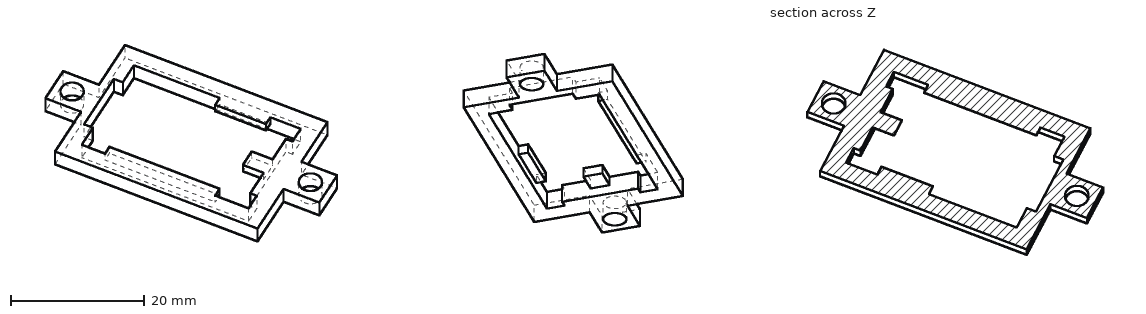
import cadquery as cq

thickness = 3.0
frame_length = 34.0
frame_width = 23.5
wall = 3.0
window_length = frame_length - 2 * wall
window_width = frame_width - 2 * wall

overall_length = 46.0
ear_width = 6.0
hole_diameter = 3.5
hole_spacing = 40.0

relief_depth = 1.5
relief_width = 10.0

land_depth = 1.1
land_width = 12.0

clip_thickness = 1.5
clip_depth = 1.5
back_clip_start = 0.4
back_clip_length = 8.5
front_clip_start = -10.1
front_clip_length = 18.5
tongue_length = 3.5
tongue_width = 3.0


def block(x_min, x_max, y_min, y_max, z_min=0.0):
    """Box between the given limits, reaching up to the top face."""
    size = (x_max - x_min, y_max - y_min, thickness - z_min)
    return cq.Workplane("XY").box(*size, centered=False).translate((x_min, y_min, z_min))


def centered_block(x_min, x_max, width, z_min=0.0):
    """Block that is symmetric about the X axis."""
    return block(x_min, x_max, -width / 2, width / 2, z_min)


def make_frame():
    """Rectangular frame with drilled ears and the relief in the -X wall."""
    plate = centered_block(-frame_length / 2, frame_length / 2, frame_width)
    ears = centered_block(-overall_length / 2, overall_length / 2, ear_width)
    window = centered_block(-window_length / 2, window_length / 2, window_width)
    relief = centered_block(-window_length / 2 - relief_depth, 0, relief_width)
    holes = (
        cq.Workplane("XY")
        .pushPoints([(-hole_spacing / 2, 0), (hole_spacing / 2, 0)])
        .circle(hole_diameter / 2)
        .extrude(thickness)
    )
    return plate.union(ears).cut(window).cut(relief).cut(holes)


def add_land_and_tongue(body):
    """Land on the +X wall carrying a thin tongue that points into the window."""
    land_face = window_length / 2 - land_depth
    land = centered_block(land_face, window_length / 2, land_width)
    tongue_bottom = thickness - clip_thickness
    tongue = centered_block(land_face - tongue_length, land_face, tongue_width, tongue_bottom)
    return body.union(land).union(tongue)


def add_clips(body):
    """Thin clips along the two long sides of the window."""
    clip_bottom = thickness - clip_thickness
    window_back = window_width / 2
    window_front = -window_width / 2
    back_clip = block(
        back_clip_start,
        back_clip_start + back_clip_length,
        window_back - clip_depth,
        window_back,
        clip_bottom,
    )
    front_clip = block(
        front_clip_start,
        front_clip_start + front_clip_length,
        window_front,
        window_front + clip_depth,
        clip_bottom,
    )
    return body.union(back_clip).union(front_clip)


result = add_clips(add_land_and_tongue(make_frame()))